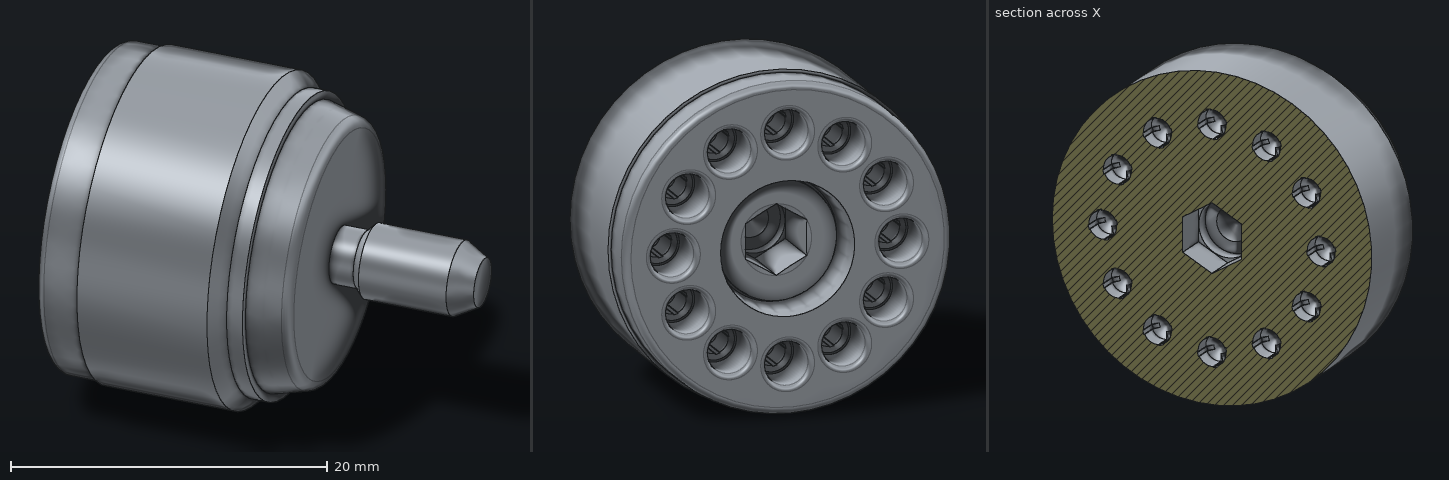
import cadquery as cq
import math

TOTAL_LENGTH = 26.07
FRONT_RIM_END = 2.82
SLEEVE_END = 11.6
COLLAR_START = 12.57
COLLAR_END = 13.63
BODY_END = 16.4
FRONT_RIM_RADIUS = 10.8
SLEEVE_RADIUS = 11.0
COLLAR_RADIUS = 10.04
TAIL_RADIUS = 9.5
TAIL_ANGLE = 15.0
FRONT_FILLET = 0.5
TAIL_FILLET = 0.75

NECK_RADIUS = 1.9
PIN_RADIUS = 2.48
PIN_TIP_RADIUS = 1.62
NECK_END = 18.05
PIN_TIP_START = 24.53

POCKET_MOUTH_RADIUS = 4.4
POCKET_FLOOR_RADIUS = 4.12
POCKET_DEPTH = 3.13
LAND_RADIUS = 3.95
LAND_HEIGHT = 0.52
HEX_ACROSS_FLATS = 4.01
HEX_CHAMFER_ANGLE = 15.0
HEX_DEPTH = 4.95
HEX_BORE_DEPTH = 1.05
HEX_BORE_RADIUS = 1.98
CENTER_DRILL_RADIUS = 1.2
DRILL_POINT_ANGLE = 118.0

CONTACT_COUNT = 12
CONTACT_RING_RADIUS = 7.5
CONTACT_BORE_RADIUS = 1.43
CONTACT_BORE_DEPTH = 3.65
CONTACT_LIP_FILLET = 0.35
FUNNEL_RADIUS = 1.3
FUNNEL_DEPTH = 0.2
CONTACT_HOLE_RADIUS = 0.95
CONTACT_HOLE_DEPTH = 2.6
SLOT_COUNT = 4
SLOT_WIDTH = 0.29
SLOT_FIRST_ANGLE = -15.0
SLOT_INNER_RADIUS = 0.5
SLOT_OUTER_RADIUS = 1.0


def cone_height(radius, point_angle=DRILL_POINT_ANGLE):
    """Height of a drill point of the given radius."""
    return radius / math.tan(math.radians(point_angle / 2))


def turned(points):
    """Solid of revolution about X from (x, radius) points, closed along the axis."""
    return cq.Workplane("XY").polyline(points).close().revolve(360, (0, 0, 0), (1, 0, 0))


def make_body():
    tail_end_radius = TAIL_RADIUS - (BODY_END - COLLAR_END) * math.tan(math.radians(TAIL_ANGLE))
    neck_cone_length = PIN_RADIUS - NECK_RADIUS
    shell = turned([
        (0, 0),
        (0, FRONT_RIM_RADIUS),
        (FRONT_RIM_END, FRONT_RIM_RADIUS),
        (FRONT_RIM_END, SLEEVE_RADIUS),
        (SLEEVE_END, SLEEVE_RADIUS),
        (COLLAR_START, COLLAR_RADIUS),
        (COLLAR_END, COLLAR_RADIUS),
        (COLLAR_END, TAIL_RADIUS),
        (BODY_END, tail_end_radius),
        (BODY_END, 0),
    ])
    shell = shell.faces("<X").edges().fillet(FRONT_FILLET)
    shell = shell.faces(">X").edges().fillet(TAIL_FILLET)
    pin = turned([
        (SLEEVE_END, 0),
        (SLEEVE_END, NECK_RADIUS),
        (NECK_END, NECK_RADIUS),
        (NECK_END + neck_cone_length, PIN_RADIUS),
        (PIN_TIP_START, PIN_RADIUS),
        (TOTAL_LENGTH, PIN_TIP_RADIUS),
        (TOTAL_LENGTH, 0),
    ])
    return shell.union(pin)


def make_center_socket():
    """Tapered pocket around a raised land, with the chamfered hexagon socket and the drilled bore."""
    land_face = POCKET_DEPTH - LAND_HEIGHT
    hex_floor = land_face + HEX_DEPTH
    bore_floor = hex_floor + HEX_BORE_DEPTH
    hex_corner_radius = HEX_ACROSS_FLATS / math.sqrt(3)
    chamfer_length = hex_corner_radius * math.tan(math.radians(HEX_CHAMFER_ANGLE))
    round_cuts = turned([
        (0, 0),
        (0, POCKET_MOUTH_RADIUS),
        (POCKET_DEPTH, POCKET_FLOOR_RADIUS),
        (POCKET_DEPTH, LAND_RADIUS),
        (land_face, LAND_RADIUS),
        (land_face, hex_corner_radius),
        (land_face + chamfer_length, 0),
    ])
    hexagon = (
        cq.Workplane("YZ", origin=(land_face, 0, 0))
        .polygon(6, 2 * hex_corner_radius)
        .extrude(HEX_DEPTH)
        .rotate((0, 0, 0), (1, 0, 0), 90)
    )
    bore = turned([
        (land_face, 0),
        (land_face, HEX_BORE_RADIUS),
        (bore_floor, HEX_BORE_RADIUS),
        (bore_floor, CENTER_DRILL_RADIUS),
        (bore_floor + cone_height(CENTER_DRILL_RADIUS), 0),
    ])
    return round_cuts.union(hexagon).union(bore)


def make_contact_socket():
    """One slotted contact socket, cut along X from the front face."""
    hole_floor = CONTACT_BORE_DEPTH + CONTACT_HOLE_DEPTH
    point = hole_floor + cone_height(CONTACT_HOLE_RADIUS)
    lip_radius = CONTACT_BORE_RADIUS + CONTACT_LIP_FILLET
    arc_shift = CONTACT_LIP_FILLET * math.sqrt(0.5)
    socket = (
        cq.Workplane("XY")
        .lineTo(0, lip_radius)
        .threePointArc(
            (CONTACT_LIP_FILLET - arc_shift, lip_radius - arc_shift),
            (CONTACT_LIP_FILLET, CONTACT_BORE_RADIUS),
        )
        .lineTo(CONTACT_BORE_DEPTH, CONTACT_BORE_RADIUS)
        .lineTo(CONTACT_BORE_DEPTH, FUNNEL_RADIUS)
        .lineTo(CONTACT_BORE_DEPTH + FUNNEL_DEPTH, CONTACT_HOLE_RADIUS)
        .lineTo(hole_floor, CONTACT_HOLE_RADIUS)
        .lineTo(point, 0)
        .close()
        .revolve(360, (0, 0, 0), (1, 0, 0))
    )
    slot_floor = point - cone_height(SLOT_INNER_RADIUS)
    slot = cq.Workplane("XY").box(
        slot_floor - CONTACT_BORE_DEPTH, SLOT_OUTER_RADIUS, SLOT_WIDTH, centered=(False, False, True)
    ).translate((CONTACT_BORE_DEPTH, 0, 0))
    for index in range(SLOT_COUNT):
        angle = SLOT_FIRST_ANGLE + index * 360 / SLOT_COUNT
        socket = socket.union(slot.rotate((0, 0, 0), (1, 0, 0), angle))
    return socket


def cut_contact_ring(body):
    socket = make_contact_socket()
    for index in range(CONTACT_COUNT):
        angle = math.radians(index * 360 / CONTACT_COUNT)
        place = (0, CONTACT_RING_RADIUS * math.cos(angle), CONTACT_RING_RADIUS * math.sin(angle))
        body = body.cut(socket.translate(place))
    return body


result = cut_contact_ring(make_body().cut(make_center_socket()))